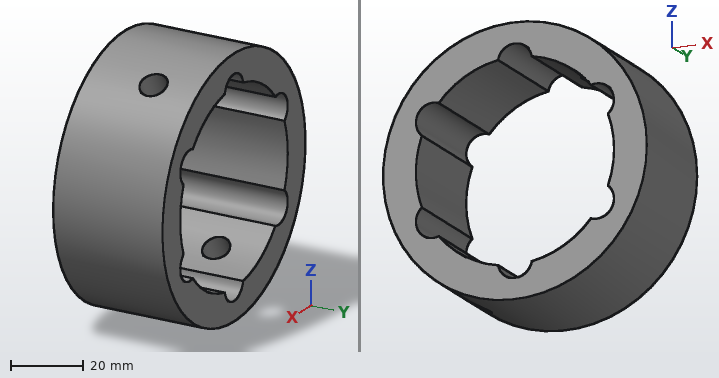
import cadquery as cq

outer_diameter = 79.9
bore_diameter = 60.0
ring_width = 35.0

groove_count = 6
groove_diameter = 10.4
groove_center_radius = 28.6

cross_hole_diameter = 8.1
cross_hole_offset = 3.2
cross_hole_angle = 60.0


def make_ring():
    return (
        cq.Workplane("XZ")
        .circle(outer_diameter / 2)
        .circle(bore_diameter / 2)
        .extrude(ring_width / 2, both=True)
    )


def make_grooves():
    return (
        cq.Workplane("XZ")
        .polarArray(groove_center_radius, 90, 360, groove_count)
        .circle(groove_diameter / 2)
        .extrude(ring_width / 2, both=True)
    )


def make_cross_hole():
    return (
        cq.Workplane("YZ")
        .center(cross_hole_offset, 0)
        .circle(cross_hole_diameter / 2)
        .extrude(outer_diameter, both=True)
        .rotate((0, 0, 0), (0, 1, 0), -cross_hole_angle)
    )


result = make_ring().cut(make_grooves()).cut(make_cross_hole())